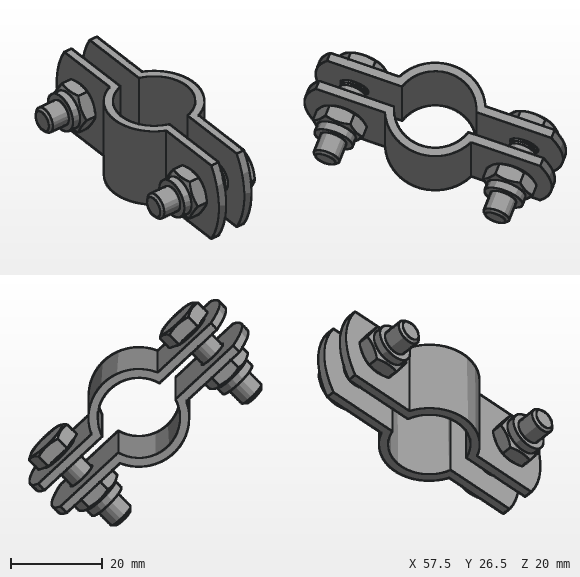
import cadquery as cq
import math

clamp_length = 57.5
clamp_height = 20.0
sheet_thickness = 2.0
ear_gap = 5.0
ring_outer_radius = 11.0
ring_inner_radius = ring_outer_radius - sheet_thickness
ear_end_sagitta = 2.7
ear_inner_y = ear_gap / 2
ear_outer_y = ear_inner_y + sheet_thickness

bolt_x = 19.7
bolt_hole_diameter = 6.5
hex_across_flats = 10.0
hex_chamfer_angle = 30.0

shank_diameter = 6.0
neck_diameter = 5.45
neck_end_y = 2.1
shank_start_y = 1.45
tip_y = ring_outer_radius - 26.5
tip_chamfer = 0.65
washer_face_diameter = 8.9
washer_face_thickness = 0.4
head_height = 3.6
head_chamfer_diameter = 9.55

nut_hex_height = 4.0
nut_collar_height = 1.95
nut_collar_diameter = 8.9


def revolve_about_bolt_axis(profile):
    """Turn a closed (radius, y) profile about the Y axis."""
    return cq.Workplane("XY").polyline(profile).close().revolve(360, (0, 0), (0, 1))


def chamfered_hex(low_y, high_y, end_diameter, chamfer_low_end):
    """Hexagon along Y whose corners are cut by a cone at the high end, and optionally at the low end."""
    corner_diameter = hex_across_flats / math.cos(math.radians(30))
    corner_radius = corner_diameter / 2
    end_radius = end_diameter / 2
    drop = (corner_radius - end_radius) * math.tan(math.radians(hex_chamfer_angle))
    prism = (
        cq.Workplane("XZ", origin=(0, low_y, 0))
        .polygon(6, corner_diameter)
        .extrude(low_y - high_y)
    )
    low_end = [(corner_radius, low_y)]
    if chamfer_low_end:
        low_end = [(end_radius, low_y), (corner_radius, low_y + drop)]
    profile = [(0, low_y), *low_end, (corner_radius, high_y - drop), (end_radius, high_y), (0, high_y)]
    return prism.intersect(revolve_about_bolt_axis(profile))


def make_clamp_half():
    """Rear half: a ring arc with a flat ear on each side, rounded ear ends and two bolt holes."""
    half_length = clamp_length / 2
    outer_x = math.sqrt(ring_outer_radius**2 - ear_outer_y**2)
    inner_x = math.sqrt(ring_inner_radius**2 - ear_inner_y**2)
    strip = (
        cq.Workplane("XY", origin=(0, 0, -clamp_height / 2))
        .moveTo(-half_length, ear_inner_y)
        .lineTo(-inner_x, ear_inner_y)
        .threePointArc((0, ring_inner_radius), (inner_x, ear_inner_y))
        .lineTo(half_length, ear_inner_y)
        .lineTo(half_length, ear_outer_y)
        .lineTo(outer_x, ear_outer_y)
        .threePointArc((0, ring_outer_radius), (-outer_x, ear_outer_y))
        .lineTo(-half_length, ear_outer_y)
        .close()
        .extrude(clamp_height)
    )
    corner_x = half_length - ear_end_sagitta
    corner_z = clamp_height / 2
    face_outline = (
        cq.Workplane("XZ")
        .moveTo(-corner_x, -corner_z)
        .lineTo(corner_x, -corner_z)
        .threePointArc((half_length, 0), (corner_x, corner_z))
        .lineTo(-corner_x, corner_z)
        .threePointArc((-half_length, 0), (-corner_x, -corner_z))
        .close()
        .extrude(-ring_outer_radius)
    )
    bolt_holes = (
        cq.Workplane("XZ")
        .pushPoints([(-bolt_x, 0), (bolt_x, 0)])
        .circle(bolt_hole_diameter / 2)
        .extrude(-ring_outer_radius)
    )
    return strip.intersect(face_outline).cut(bolt_holes)


def make_bolt():
    """Hex bolt with its washer face on the rear ear and its tip pointing to -Y."""
    shank_radius = shank_diameter / 2
    neck_radius = neck_diameter / 2
    washer_face_radius = washer_face_diameter / 2
    head_low_y = ear_outer_y + washer_face_thickness
    stem = revolve_about_bolt_axis([
        (0, tip_y),
        (shank_radius - tip_chamfer, tip_y),
        (shank_radius, tip_y + tip_chamfer),
        (shank_radius, shank_start_y),
        (neck_radius, neck_end_y),
        (neck_radius, ear_outer_y),
        (washer_face_radius, ear_outer_y),
        (washer_face_radius, head_low_y),
        (0, head_low_y),
    ])
    head = chamfered_hex(head_low_y, head_low_y + head_height, head_chamfer_diameter, False)
    return stem.union(head)


def make_nut():
    """Hex nut against the front ear, with a round collar on its free side."""
    hex_low_y = -ear_outer_y - nut_hex_height
    hex_body = chamfered_hex(hex_low_y, -ear_outer_y, nut_collar_diameter, True)
    collar = (
        cq.Workplane("XZ", origin=(0, hex_low_y, 0))
        .circle(nut_collar_diameter / 2)
        .extrude(nut_collar_height)
    )
    bore = (
        cq.Workplane("XZ", origin=(0, -ear_outer_y, 0))
        .circle(shank_diameter / 2)
        .extrude(nut_hex_height + nut_collar_height)
    )
    return hex_body.union(collar).cut(bore)


rear_clamp_half = make_clamp_half()
front_clamp_half = rear_clamp_half.mirror("XZ")

bolts = []
nuts = []
for x in (-bolt_x, bolt_x):
    bolts.append(make_bolt().translate((x, 0, 0)).val())
    nuts.append(make_nut().translate((x, 0, 0)).val())

result = cq.Compound.makeCompound([rear_clamp_half.val(), front_clamp_half.val(), *bolts, *nuts])